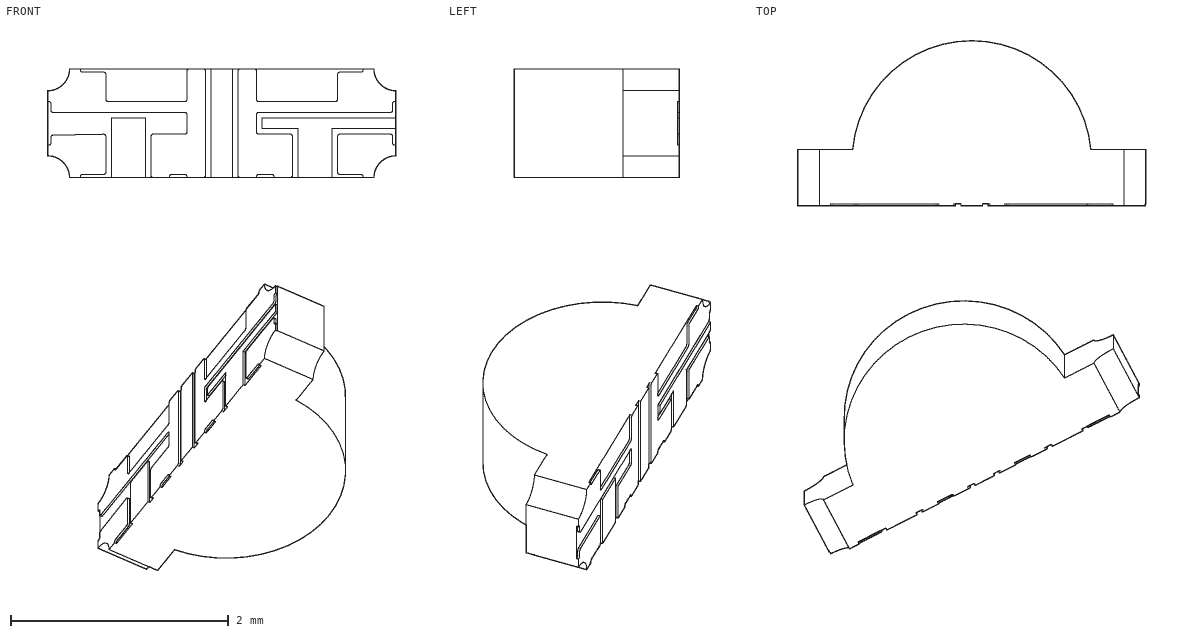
import cadquery as cq
import math

length = 3.2
height = 1.0
housing_depth = 0.5
corner_relief = 0.2

lens_radius = 1.1
lens_rise = 1.0

foil = 0.02
right_setback = 0.005
copper_corner = 0.02

strip_half = 0.10
gap = 0.05
column_inner = strip_half + gap
column_outer = 0.32
small_notch_end = 0.48
leg_inner = 0.70
leg_outer = 1.015
slot_inner = leg_inner - gap
slot_outer = leg_outer + gap
long_notch_end = 1.30
notch = 0.03
window_bottom = 0.20
slot_half = 0.10
arm_half = slot_half - gap
side_notch_half = 0.20
left_pad_fall = 0.01

half_length = length / 2
half_height = height / 2
overrun = 0.1
tolerance = 1e-4

back = foil + housing_depth


def block(x_start, x_end, z_start, z_end, y_start=0.0, y_end=foil):
    """Box between two corners; by default it lies in the foil layer."""
    size = (x_end - x_start, y_end - y_start, z_end - z_start)
    return cq.Workplane("XY").box(*size, centered=False).translate((x_start, y_start, z_start))


def mirrored_block(side, x_inner, x_outer, z_start, z_end):
    """Foil-layer box on the left (side = -1) or right (side = 1) half."""
    x_start, x_end = sorted((side * x_inner, side * x_outer))
    return block(x_start, x_end, z_start, z_end)


def relieve_corners(body):
    """Cut the quarter-round reliefs along Y through all four corners."""
    cutter = (
        cq.Workplane("XZ", origin=(0, -overrun, 0))
        .rect(length, height, forConstruction=True)
        .vertices()
        .circle(corner_relief)
        .extrude(-(back + 2 * overrun))
    )
    return body.cut(cutter)


def make_housing():
    return relieve_corners(block(-half_length, half_length, -half_height, half_height, foil, back))


def make_lens():
    """Circular segment standing on the +Y face over the full height."""
    centre_y = back + lens_rise - lens_radius
    half_width = math.sqrt(lens_radius**2 - (back - centre_y) ** 2)
    return (
        cq.Workplane("XY", origin=(0, 0, -half_height))
        .moveTo(-half_width, back)
        .threePointArc((0, back + lens_rise), (half_width, back))
        .close()
        .extrude(height)
    )


def recesses(side):
    """Areas of one half of the face that are free of copper."""
    below = -half_height - overrun
    above = half_height + overrun
    beyond = half_length + overrun
    notch_top = half_height - notch
    notch_bottom = -notch_top
    return [
        mirrored_block(side, column_outer, slot_outer, window_bottom, above),
        mirrored_block(side, column_outer, long_notch_end, notch_top, above),
        mirrored_block(side, column_outer, beyond, -slot_half, slot_half),
        mirrored_block(side, slot_inner, slot_outer, below, 0),
        mirrored_block(side, slot_inner, long_notch_end, below, notch_bottom),
        mirrored_block(side, column_outer, small_notch_end, below, notch_bottom),
        mirrored_block(side, half_length - notch, beyond, -side_notch_half, side_notch_half),
    ]


def left_pad_slope():
    """Thin wedge that lowers the top edge of the left pad towards the end face."""
    return (
        cq.Workplane("XZ")
        .moveTo(-slot_outer, -slot_half)
        .lineTo(-half_length, -slot_half)
        .lineTo(-half_length, -slot_half - left_pad_fall)
        .close()
        .extrude(-foil)
    )


def is_rounded(edge):
    """True for copper corners inside the face and at the mouths of the deep recesses."""
    centre = edge.Center()
    x = abs(centre.x)
    if x > half_length - notch + tolerance:
        return False
    if abs(centre.z) < half_height - tolerance:
        return True
    mouths = [column_inner, column_outer] if centre.z > 0 else [column_inner, slot_inner]
    return any(abs(x - mouth) < tolerance for mouth in mouths)


def make_copper():
    """Foil left around the recesses, with its corners rounded."""
    copper = block(-half_length, half_length - right_setback, -half_height, half_height)
    copper = copper.cut(block(-column_inner, column_inner, -half_height, half_height))
    for side in (-1, 1):
        for recess in recesses(side):
            copper = copper.cut(recess)
    copper = copper.cut(left_pad_slope())
    rounded = [edge for edge in copper.edges("|Y").vals() if is_rounded(edge)]
    copper = copper.newObject(rounded).fillet(copper_corner)
    return relieve_corners(copper)


def make_islands():
    """Sharp-cornered islands: centre strip, left leg and right arm with leg."""
    strip = block(-strip_half, strip_half, -half_height, half_height)
    left_leg = block(-leg_outer, -leg_inner, -half_height, arm_half)
    right_leg = block(leg_inner, leg_outer, -half_height, arm_half)
    arm = block(column_outer + gap, half_length - right_setback, -arm_half, arm_half)
    return [strip, left_leg, right_leg, arm]


result = make_housing().union(make_lens()).union(make_copper())
for island in make_islands():
    result = result.union(island)